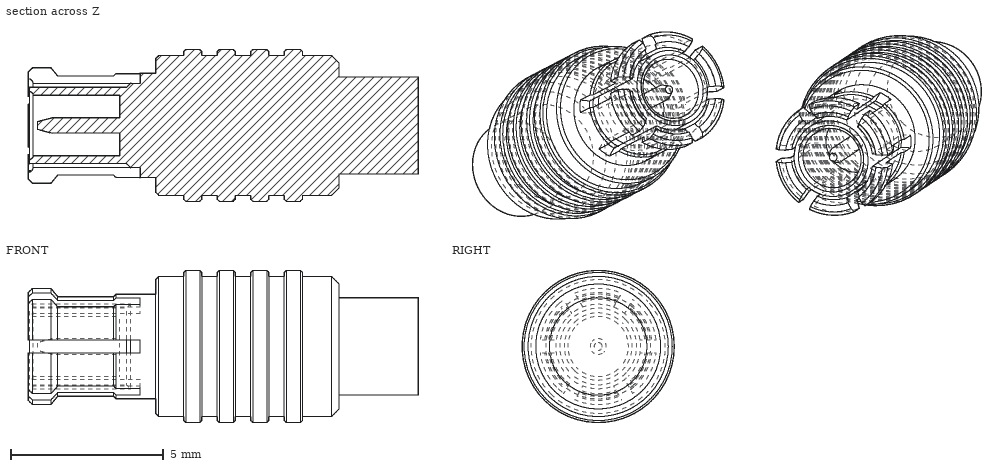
import cadquery as cq

TOTAL_LENGTH = 12.8

BODY_START = 4.18
BODY_END = 10.2
BODY_RADIUS = 2.3
BODY_FRONT_CHAMFER = 0.1
BODY_REAR_CHAMFER = 0.25

RING_RADIUS = 2.5
RING_COUNT = 4
RING_WIDTH = 0.6
RING_PITCH = 1.1
FIRST_RING_START = 5.1
RING_CHAMFER = 0.07

TUBE_RADIUS = 1.6

BULGE_RADIUS = 1.91
BULGE_END = 0.75
TIP_CHAMFER = 0.14
NECK_RADIUS = 1.64
NECK_START = 0.97
NECK_END = 2.8
COLLET_BASE_RADIUS = 1.72
COLLET_BORE_RADIUS = 1.39
COLLET_BORE_ROUND = 0.16
SLOT_COUNT = 6
SLOT_WIDTH = 0.42
SLOT_END = 3.67

SLEEVE_START = 0.04
SLEEVE_RADIUS = 1.26
SLEEVE_BORE_RADIUS = 0.99
SLEEVE_BORE_ROUND = 0.12
SLEEVE_BORE_END = 3.0
SLEEVE_TAPER_START = 3.23
SLEEVE_TAPER_END = SLEEVE_TAPER_START + COLLET_BORE_RADIUS - SLEEVE_RADIUS

PIN_START = 0.3
PIN_RADIUS = 0.26
PIN_TIP_RADIUS = 0.13
PIN_TIP_LENGTH = 0.5


def cylinder(start, end, radius):
    """Solid cylinder on the X axis between two X positions."""
    return cq.Workplane("YZ").workplane(offset=start).circle(radius).extrude(end - start)


def revolve_about_axis(profile):
    """Turn a closed (x, radius) profile once around the X axis."""
    return profile.close().revolve(360, (0, 0, 0), (1, 0, 0))


def make_collet():
    """Collet tube with a bulged tip, a thin neck and a thicker base."""
    step = COLLET_BASE_RADIUS - NECK_RADIUS
    profile = (
        cq.Workplane("XY")
        .moveTo(0, COLLET_BORE_RADIUS + COLLET_BORE_ROUND)
        .lineTo(0, BULGE_RADIUS - TIP_CHAMFER)
        .lineTo(TIP_CHAMFER, BULGE_RADIUS)
        .lineTo(BULGE_END, BULGE_RADIUS)
        .lineTo(NECK_START, NECK_RADIUS)
        .lineTo(NECK_END, NECK_RADIUS)
        .lineTo(NECK_END + step, COLLET_BASE_RADIUS)
        .lineTo(BODY_START, COLLET_BASE_RADIUS)
        .lineTo(BODY_START, COLLET_BORE_RADIUS)
        .lineTo(COLLET_BORE_ROUND, COLLET_BORE_RADIUS)
        .radiusArc((0, COLLET_BORE_RADIUS + COLLET_BORE_ROUND), -COLLET_BORE_ROUND)
    )
    return revolve_about_axis(profile)


def cut_slots(collet):
    """Split the collet into equal spring fingers, starting with a slot at +Y."""
    for index in range(SLOT_COUNT):
        slot = (
            cq.Workplane("XY")
            .box(SLOT_END, 2 * BULGE_RADIUS, SLOT_WIDTH, centered=(False, False, True))
            .rotate((0, 0, 0), (1, 0, 0), index * 360 / SLOT_COUNT)
        )
        collet = collet.cut(slot)
    return collet


def make_sleeve():
    """Blind inner sleeve whose floor runs back into the body."""
    profile = (
        cq.Workplane("XY")
        .moveTo(SLEEVE_START, SLEEVE_BORE_RADIUS + SLEEVE_BORE_ROUND)
        .lineTo(SLEEVE_START, SLEEVE_RADIUS)
        .lineTo(SLEEVE_TAPER_START, SLEEVE_RADIUS)
        .lineTo(SLEEVE_TAPER_END, COLLET_BORE_RADIUS)
        .lineTo(BODY_START, COLLET_BORE_RADIUS)
        .lineTo(BODY_START, 0)
        .lineTo(SLEEVE_BORE_END, 0)
        .lineTo(SLEEVE_BORE_END, SLEEVE_BORE_RADIUS)
        .lineTo(SLEEVE_START + SLEEVE_BORE_ROUND, SLEEVE_BORE_RADIUS)
        .radiusArc((SLEEVE_START, SLEEVE_BORE_RADIUS + SLEEVE_BORE_ROUND), -SLEEVE_BORE_ROUND)
    )
    return revolve_about_axis(profile)


def make_pin():
    """Centre pin with a blunt conical tip, rooted in the sleeve floor."""
    profile = (
        cq.Workplane("XY")
        .moveTo(PIN_START, 0)
        .lineTo(PIN_START, PIN_TIP_RADIUS)
        .lineTo(PIN_START + PIN_TIP_LENGTH, PIN_RADIUS)
        .lineTo(BODY_START, PIN_RADIUS)
        .lineTo(BODY_START, 0)
    )
    return revolve_about_axis(profile)


def make_body():
    """Grip body with chamfered ends and evenly spaced raised rings."""
    body = (
        cylinder(BODY_START, BODY_END, BODY_RADIUS)
        .faces("<X").chamfer(BODY_FRONT_CHAMFER)
        .faces(">X").chamfer(BODY_REAR_CHAMFER)
    )
    for index in range(RING_COUNT):
        start = FIRST_RING_START + index * RING_PITCH
        ring = cylinder(start, start + RING_WIDTH, RING_RADIUS).edges().chamfer(RING_CHAMFER)
        body = body.union(ring)
    return body


tube = cylinder(BODY_END, TOTAL_LENGTH, TUBE_RADIUS)
plug_front = cut_slots(make_collet()).union(make_sleeve()).union(make_pin())
result = make_body().union(tube).union(plug_front)